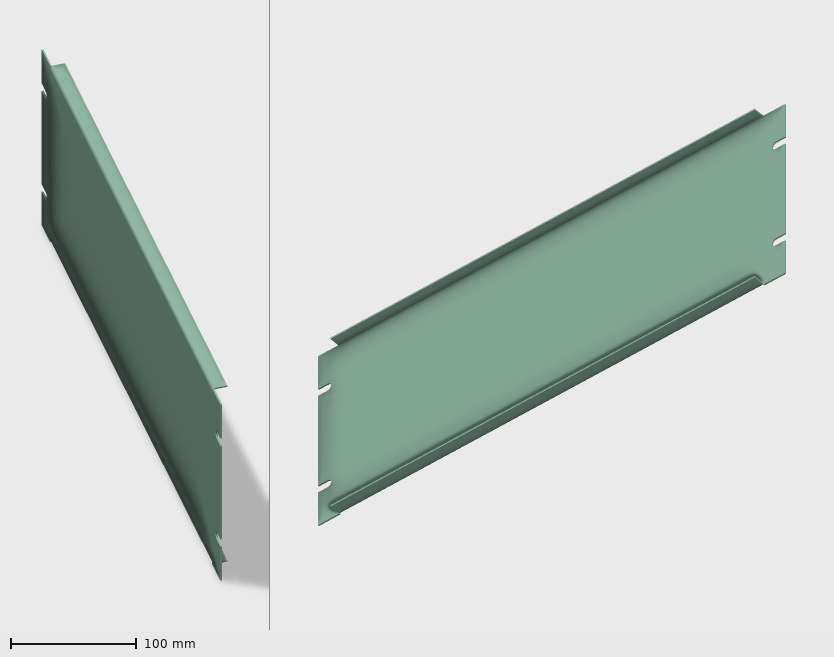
import cadquery as cq

panel_length = 482.5
panel_height = 177.0
panel_depth = 12.5
sheet = 1.5

flange_inset = 22.0
flange_length = panel_length - 2 * flange_inset
bend_inner_radius = 1.5
bend_outer_radius = bend_inner_radius + sheet

slot_spacing = 101.5
slot_width = 7.0
slot_depth = 13.5


def channel():
    """C-shaped bent sheet, front face at the minimum Y side."""
    outer = (
        cq.Workplane("XY")
        .box(flange_length, panel_depth, panel_height)
        .edges("|X and <Y")
        .fillet(bend_outer_radius)
    )
    inner = (
        cq.Workplane("XY")
        .box(flange_length, panel_depth, panel_height - 2 * sheet)
        .edges("|X and <Y")
        .fillet(bend_inner_radius)
        .translate((0, sheet, 0))
    )
    return outer.cut(inner)


def end_tab(side):
    """Flat full-height plate end beyond the flanges; side is -1 or 1."""
    center_x = side * (panel_length - flange_inset) / 2
    center_y = (sheet - panel_depth) / 2
    return (
        cq.Workplane("XY")
        .box(flange_inset, sheet, panel_height)
        .translate((center_x, center_y, 0))
    )


def mounting_slots():
    """Four round-ended slots, each centred on a plate end so half lies outside."""
    end_points = [
        (x, z)
        for x in (-panel_length / 2, panel_length / 2)
        for z in (-slot_spacing / 2, slot_spacing / 2)
    ]
    return (
        cq.Workplane("XZ")
        .pushPoints(end_points)
        .slot2D(2 * slot_depth, slot_width)
        .extrude(panel_depth, both=True)
    )


panel = channel().union(end_tab(-1)).union(end_tab(1))
result = panel.cut(mounting_slots())